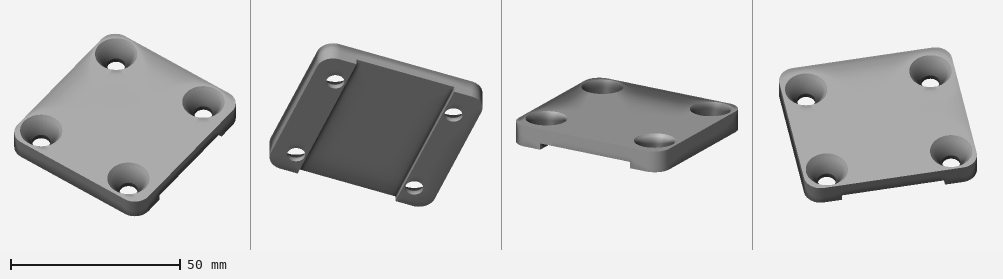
import cadquery as cq

width = 48.0
length = 52.0
thickness = 6.5
corner_radius = 5.0

channel_width = 31.0
channel_depth = 2.0

hole_spacing_x = 32.0
hole_spacing_y = 37.45
hole_shift_x = -1.0
hole_diameter = 5.4
countersink_diameter = 12.5
countersink_depth = 5.0


def make_plate():
    """Rounded plate standing on Z = 0, centred in X and Y."""
    plate = cq.Workplane("XY").box(width, length, thickness, centered=(True, True, False))
    return plate.edges("|Z").fillet(corner_radius)


def cut_channel(body):
    """Cut the open channel through the full width of the underside."""
    channel = cq.Workplane("XY").box(width, channel_width, channel_depth, centered=(True, True, False))
    return body.cut(channel)


def make_screw_cutter():
    """Revolved profile of one hole and its cone, with the top face at Z = thickness."""
    hole_radius = hole_diameter / 2
    cone_bottom = thickness - countersink_depth
    profile = (
        cq.Workplane("XZ")
        .lineTo(hole_radius, 0)
        .lineTo(hole_radius, cone_bottom)
        .lineTo(countersink_diameter / 2, thickness)
        .lineTo(0, thickness)
        .close()
    )
    return profile.revolve(360, (0, 0, 0), (0, 1, 0))


def cut_screw_holes(body):
    """Cut the four countersunk through holes."""
    cutter = make_screw_cutter()
    for side_x in (-1, 1):
        for side_y in (-1, 1):
            x = hole_shift_x + side_x * hole_spacing_x / 2
            y = side_y * hole_spacing_y / 2
            body = body.cut(cutter.translate((x, y, 0)))
    return body


result = cut_screw_holes(cut_channel(make_plate()))